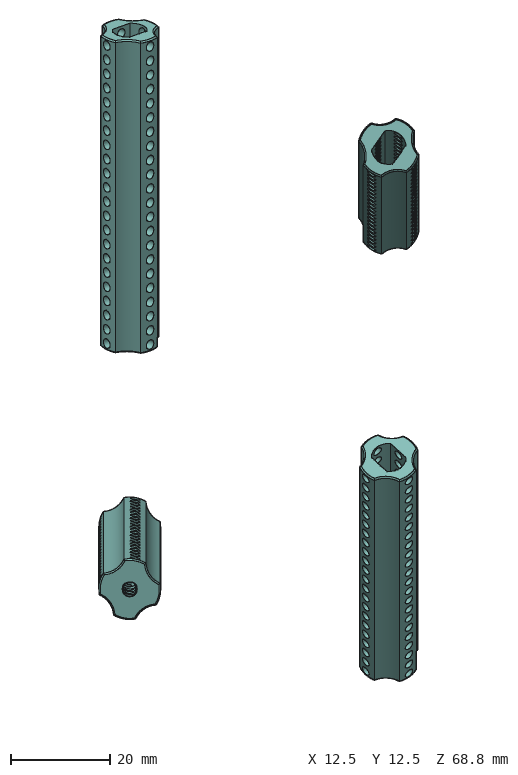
import cadquery as cq
import math

length = 68.75
outer_radius = 6.25
lobe_half_width = 2.3
flute_bottom_radius = 5.0
end_chamfer = 0.31

hole_count = 22
hole_diameter = 2.0
hole_pitch = length / hole_count

socket_diameter = 7.0
socket_width = 5.15
socket_floor = 11.0

bore_diameter = 3.0

collar_diameter = 6.0
open_holes_below_collar = 3
collar_bottom = open_holes_below_collar * hole_pitch


def polar_point(radius, angle):
    return (radius * math.cos(angle), radius * math.sin(angle))


def fluted_bar():
    """Bar with four round lobes on the X and Y axes and a concave flute on each diagonal."""
    quarter_turn = math.pi / 2
    half_lobe_angle = math.asin(lobe_half_width / outer_radius)
    outline = cq.Workplane("XY").moveTo(*polar_point(outer_radius, -half_lobe_angle))
    for quarter in range(4):
        lobe_middle = quarter * quarter_turn
        lobe_end = lobe_middle + half_lobe_angle
        flute_middle = lobe_middle + quarter_turn / 2
        next_lobe_start = lobe_middle + quarter_turn - half_lobe_angle
        outline = outline.threePointArc(
            polar_point(outer_radius, lobe_middle), polar_point(outer_radius, lobe_end)
        )
        outline = outline.threePointArc(
            polar_point(flute_bottom_radius, flute_middle), polar_point(outer_radius, next_lobe_start)
        )
    bar = outline.close().extrude(length)
    return bar.faces("<Z or >Z").chamfer(end_chamfer)


def upright_cylinder(diameter, bottom, top):
    return cq.Workplane("XY").workplane(offset=bottom).circle(diameter / 2).extrude(top - bottom)


def socket():
    """Round pocket trimmed to its flat sides."""
    floor = cq.Workplane("XY").workplane(offset=socket_floor)
    flats = floor.rect(socket_width, socket_diameter).extrude(length - socket_floor)
    return upright_cylinder(socket_diameter, socket_floor, length).intersect(flats)


def cross_holes():
    """Rows of through holes along X and along Y, evenly spaced over the length."""
    centers = [(0, (index + 0.5) * hole_pitch) for index in range(hole_count)]
    rows = [
        cq.Workplane(plane).pushPoints(centers).circle(hole_diameter / 2).extrude(outer_radius, both=True)
        for plane in ("XZ", "YZ")
    ]
    return rows[0].union(rows[1])


collar = upright_cylinder(collar_diameter, collar_bottom, socket_floor)
bore = upright_cylinder(bore_diameter, 0, length)

result = fluted_bar().cut(socket()).cut(cross_holes()).union(collar).cut(bore)